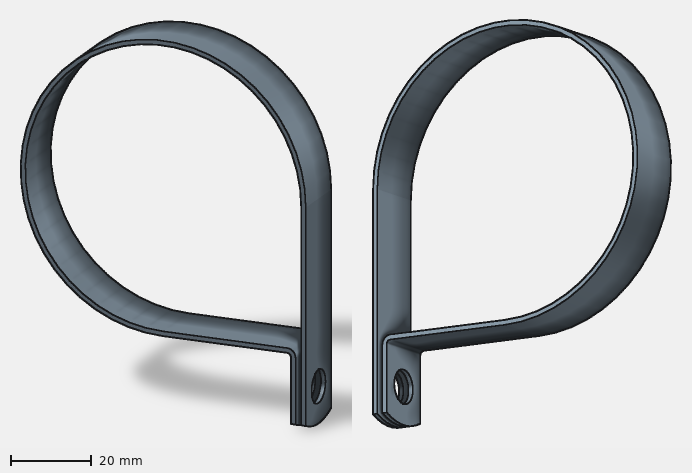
import cadquery as cq
import math

strap_width = 15.88
thickness = 1.27
loop_inner_diameter = 74.5
tab_gap = 1.5
bend_inner_radius = 1.0
tab_end_depth = 58.65
tab_end_sagitta = 1.75
hole_diameter = 8.7
hole_end_distance = 9.7

inner_radius = loop_inner_diameter / 2
outer_radius = inner_radius + thickness
bend_outer_radius = bend_inner_radius + thickness
half_width = strap_width / 2
short_tab_outer_x = inner_radius - tab_gap
short_tab_inner_x = short_tab_outer_x - thickness
bend_x = short_tab_outer_x - bend_outer_radius
bend_z = -inner_radius - bend_outer_radius
diagonal = math.sqrt(0.5)
hole_z = hole_end_distance - tab_end_depth


def make_strap():
    """Constant-thickness strap: long tab, loop, flat base, bend and short tab."""
    return (
        cq.Workplane("XZ")
        .moveTo(outer_radius, -tab_end_depth)
        .lineTo(outer_radius, 0)
        .threePointArc((-outer_radius * diagonal, outer_radius * diagonal), (0, -outer_radius))
        .lineTo(bend_x, -outer_radius)
        .threePointArc(
            (bend_x + bend_inner_radius * diagonal, bend_z + bend_inner_radius * diagonal),
            (short_tab_inner_x, bend_z),
        )
        .lineTo(short_tab_inner_x, -tab_end_depth)
        .lineTo(short_tab_outer_x, -tab_end_depth)
        .lineTo(short_tab_outer_x, bend_z)
        .threePointArc(
            (bend_x + bend_outer_radius * diagonal, bend_z + bend_outer_radius * diagonal),
            (bend_x, -inner_radius),
        )
        .lineTo(0, -inner_radius)
        .threePointArc((-inner_radius * diagonal, inner_radius * diagonal), (inner_radius, 0))
        .lineTo(inner_radius, -tab_end_depth)
        .close()
        .extrude(half_width, both=True)
    )


def make_end_envelope():
    """Side outline of the strap with its arched lower end, swept across the full X extent."""
    corner_z = tab_end_sagitta - tab_end_depth
    return (
        cq.Workplane("YZ")
        .moveTo(-half_width, outer_radius)
        .lineTo(-half_width, corner_z)
        .threePointArc((0, -tab_end_depth), (half_width, corner_z))
        .lineTo(half_width, outer_radius)
        .close()
        .extrude(outer_radius, both=True)
    )


def make_bolt_hole():
    """Cylinder along X that passes through both tabs."""
    return (
        cq.Workplane("YZ")
        .center(0, hole_z)
        .circle(hole_diameter / 2)
        .extrude(outer_radius)
    )


result = make_strap().intersect(make_end_envelope()).cut(make_bolt_hole())